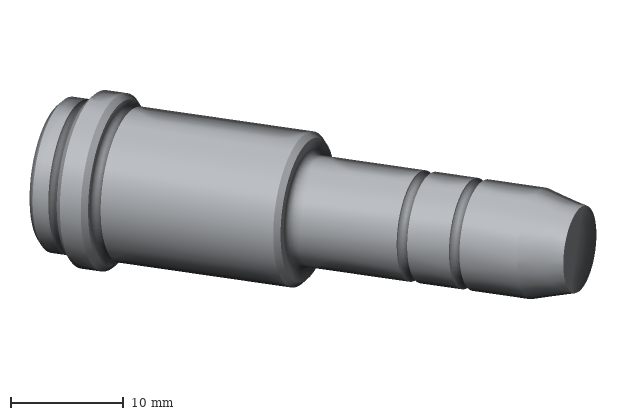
import cadquery as cq
import math

total_length = 50.0
body_end = 24.0
flange_start = 3.0
flange_end = 6.0
taper_start = 46.0
taper_angle = 15.0

body_radius = 7.0
flange_radius = 8.0
stud_radius = 5.0
tip_radius = stud_radius - (total_length - taper_start) * math.tan(math.radians(taper_angle))

chamfer = 0.5
fillet_radius = 0.5
groove_radius = 0.5
head_groove_centers = (2.5, 6.5)
stud_groove_centers = (35.0, 40.0)


def cylinder(radius, start, end):
    """Solid cylinder on the X axis between two stations."""
    return cq.Workplane("YZ", origin=(start, 0, 0)).circle(radius).extrude(end - start)


def ring_groove(center, surface_radius):
    """Torus that cuts a half-round groove into a cylinder of the given radius."""
    return (
        cq.Workplane("XY")
        .center(center, surface_radius)
        .circle(groove_radius)
        .revolve(360, (-center, -surface_radius), (0.5 - center, -surface_radius))
    )


body = cylinder(body_radius, 0, body_end).edges().chamfer(chamfer)
for groove_center in head_groove_centers:
    body = body.cut(ring_groove(groove_center, body_radius))

flange = cylinder(flange_radius, flange_start, flange_end).edges().chamfer(chamfer)

stud = (
    cq.Workplane("XY")
    .moveTo(body_end, 0)
    .lineTo(body_end, stud_radius + fillet_radius)
    .radiusArc((body_end + fillet_radius, stud_radius), -fillet_radius)
    .lineTo(taper_start, stud_radius)
    .lineTo(total_length, tip_radius)
    .lineTo(total_length, 0)
    .close()
    .revolve(360, (0, 0), (1, 0))
)
for groove_center in stud_groove_centers:
    stud = stud.cut(ring_groove(groove_center, stud_radius))

result = body.union(flange).union(stud)